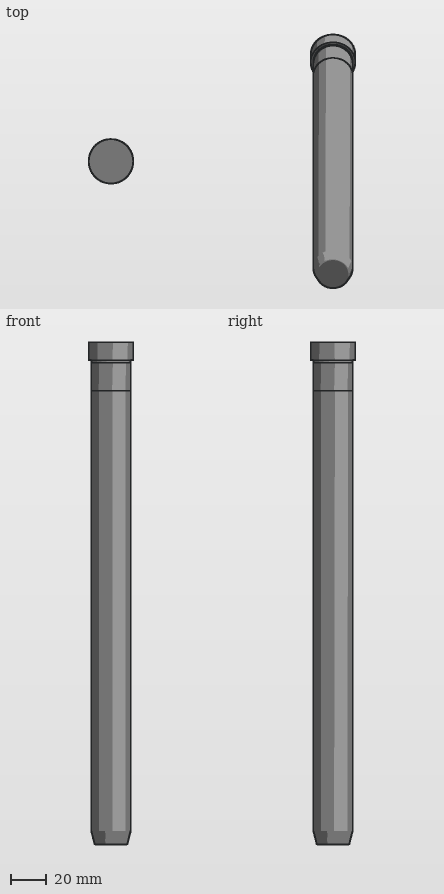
import cadquery as cq

TOTAL_LENGTH = 280.0

HEAD_DIAMETER = 25.0
HEAD_HEIGHT = 10.0
GROOVE_WIDTH = 1.5
GROOVE_DEPTH = 0.3
HEAD_PIECE_LENGTH = 27.2

SHAFT_DIAMETER = 22.0
TIP_LENGTH = 7.5
TIP_END_DIAMETER = 18.2
TIP_FILLET = 0.8

JOINT_Z = TOTAL_LENGTH - HEAD_PIECE_LENGTH


def make_head_piece():
    """Flanged head above a collar, with a shallow round groove under the flange."""
    flange_z = TOTAL_LENGTH - HEAD_HEIGHT
    collar_radius = SHAFT_DIAMETER / 2
    groove_bottom = (collar_radius, flange_z - GROOVE_WIDTH)
    groove_middle = (collar_radius - GROOVE_DEPTH, flange_z - GROOVE_WIDTH / 2)
    groove_top = (collar_radius, flange_z)
    return (
        cq.Workplane("XZ")
        .moveTo(0, JOINT_Z)
        .lineTo(collar_radius, JOINT_Z)
        .lineTo(*groove_bottom)
        .threePointArc(groove_middle, groove_top)
        .lineTo(HEAD_DIAMETER / 2, flange_z)
        .lineTo(HEAD_DIAMETER / 2, TOTAL_LENGTH)
        .lineTo(0, TOTAL_LENGTH)
        .close()
        .revolve(360, (0, 0), (0, 1))
    )


def make_shaft():
    """Long cylinder with a tapered tip and a rounded bottom edge."""
    shaft = (
        cq.Workplane("XZ")
        .lineTo(TIP_END_DIAMETER / 2, 0)
        .lineTo(SHAFT_DIAMETER / 2, TIP_LENGTH)
        .lineTo(SHAFT_DIAMETER / 2, JOINT_Z)
        .lineTo(0, JOINT_Z)
        .close()
        .revolve(360, (0, 0), (0, 1))
    )
    return shaft.faces("<Z").edges().fillet(TIP_FILLET)


head_piece = make_head_piece()
shaft = make_shaft()

result = cq.Compound.makeCompound([head_piece.val(), shaft.val()])